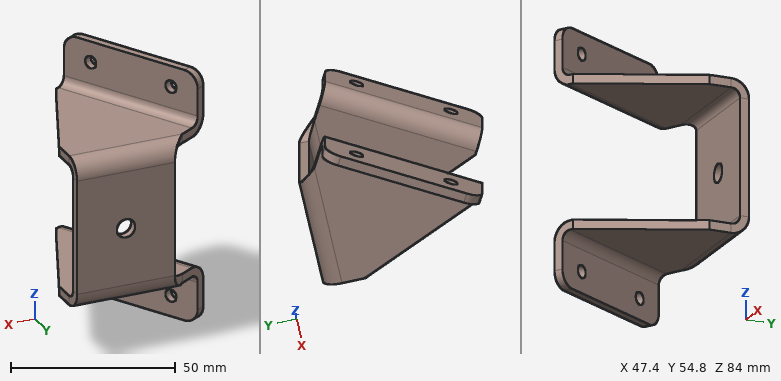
import cadquery as cq
import math

size_x = 47.4
size_y = 54.8
size_z = 84.0

thickness = 3.0
inner_radius = 2.9
outer_radius = inner_radius + thickness
web_outer_z = 24.95
web_inner_z = web_outer_z - thickness

back_width = 32.7
back_hole_diameter = 6.05
right_x = size_x / 2
back_left_x = right_x - back_width
back_y = size_y / 2
back_center_x = right_x - back_width / 2
back_bend_y = back_y - outer_radius
back_bend_z = web_outer_z - outer_radius

flange_angle = 30.0
flange_length = 50.0
flange_corner_radius = 4.95
flange_hole_diameter = 4.0
flange_hole_spacing = 30.0
flange_hole_edge = 7.0
flange_bend_z = web_inner_z + outer_radius

web_straight_end = 7.05
web_right_y = 14.3

bend_sections = 9

angle = math.radians(flange_angle)
along = cq.Vector(math.sin(angle), -math.cos(angle), 0)
inward = cq.Vector(math.cos(angle), math.sin(angle), 0)
flange_bottom = cq.Vector(
    -size_x / 2 + flange_length * math.sin(angle), -size_y / 2, 0
)
flange_top = flange_bottom - along * flange_length
flange_middle = (flange_top + flange_bottom) * 0.5

web_top_left = flange_top + inward * ((back_bend_y - flange_top.y) / inward.y)


def make_back_plate():
    """Flat plate between the two back bends, with its hole."""
    plate = cq.Workplane("XY").box(
        back_width, thickness, 2 * back_bend_z
    ).translate((back_center_x, back_y - thickness / 2, 0))
    hole = (
        cq.Workplane("XZ", origin=(back_center_x, back_y, 0))
        .circle(back_hole_diameter / 2)
        .extrude(thickness)
    )
    return plate.cut(hole)


def make_back_bend():
    """Upper bend from web to back plate; its left end narrows around the bend."""
    sections = []
    for i in range(bend_sections):
        turn = math.pi / 2 * i / (bend_sections - 1)
        left_x = web_top_left.x + (back_left_x - web_top_left.x) * math.sin(turn)
        corners = [
            cq.Vector(
                x,
                back_bend_y + radius * math.sin(turn),
                back_bend_z + radius * math.cos(turn),
            )
            for x, radius in (
                (left_x, inner_radius),
                (right_x, inner_radius),
                (right_x, outer_radius),
                (left_x, outer_radius),
            )
        ]
        sections.append(cq.Wire.makePolygon(corners, close=True))
    return cq.Workplane(cq.Solid.makeLoft(sections))


def make_web():
    """Flat upper web between the flange bend and the back bend."""
    outline = [
        flange_top + inward * outer_radius,
        flange_bottom + inward * outer_radius,
        flange_bottom + inward * web_straight_end,
        cq.Vector(right_x, web_right_y),
        cq.Vector(right_x, back_bend_y),
        web_top_left,
    ]
    return (
        cq.Workplane("XY", origin=(0, 0, web_inner_z))
        .polyline([(p.x, p.y) for p in outline])
        .close()
        .extrude(thickness)
    )


def make_flange():
    """Upper flange with its bend, rounded free corners and two holes."""
    profile_plane = cq.Plane(
        origin=flange_top.toTuple(), xDir=inward.toTuple(), normal=along.toTuple()
    )
    half_turn = math.sqrt(0.5)
    flange = (
        cq.Workplane(profile_plane)
        .moveTo(0, size_z / 2)
        .lineTo(0, flange_bend_z)
        .threePointArc(
            (outer_radius - outer_radius * half_turn, flange_bend_z - outer_radius * half_turn),
            (outer_radius, web_inner_z),
        )
        .lineTo(outer_radius, web_outer_z)
        .threePointArc(
            (outer_radius - inner_radius * half_turn, flange_bend_z - inner_radius * half_turn),
            (thickness, flange_bend_z),
        )
        .lineTo(thickness, size_z / 2)
        .close()
        .extrude(flange_length)
    )
    free_corners = cq.selectors.ParallelDirSelector(inward)
    flange = flange.faces(">Z").edges(free_corners).fillet(flange_corner_radius)
    face_plane = cq.Plane(
        origin=flange_middle.toTuple(), xDir=(-along).toTuple(), normal=inward.toTuple()
    )
    hole_z = size_z / 2 - flange_hole_edge
    holes = (
        cq.Workplane(face_plane)
        .pushPoints([(side * flange_hole_spacing / 2, hole_z) for side in (-1, 1)])
        .circle(flange_hole_diameter / 2)
        .extrude(thickness)
    )
    return flange.cut(holes)


upper_half = make_web().union(make_back_bend()).union(make_flange())
lower_half = upper_half.mirror("XY")
bracket = make_back_plate().union(upper_half).union(lower_half)

result = bracket